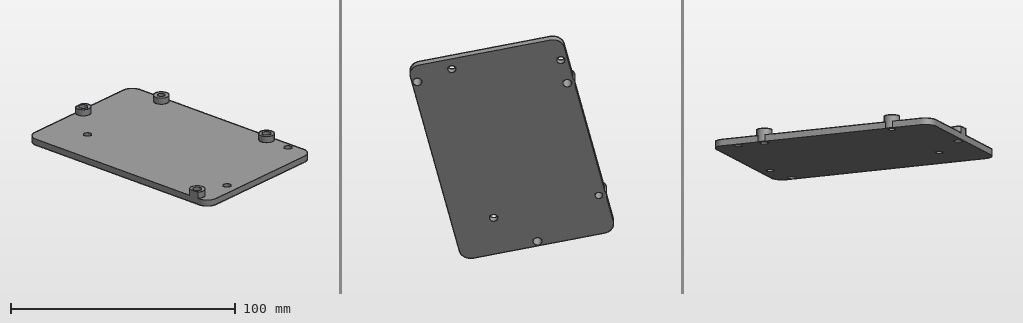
import cadquery as cq

length = 107.0
width = 70.3
thickness = 3.0
corner_radius = 5.2

standoff_diameter = 7.0
standoff_height = 3.0
back_overhang = 0.4
back_row_y = width + back_overhang - standoff_diameter / 2
edge_inset = 2.5

small_bore = 3.4
large_bore = 4.0
plate_hole_diameter = 3.6
front_row_y = 18.9

back_standoffs = [
    ((20.4, back_row_y), small_bore),
    ((82.6, back_row_y), large_bore),
]
trimmed_standoffs = [
    ((edge_inset, 35.1), large_bore),
    ((98.3, edge_inset), large_bore),
]
plate_holes = [(19.2, front_row_y), (101.5, front_row_y), (95.3, back_row_y)]


def rounded_block(height):
    """Block with the plate's rounded outline, standing on the XY plane."""
    block = cq.Workplane("XY").box(length, width, height, centered=False)
    return block.edges("|Z").fillet(corner_radius)


def cylinder(center, diameter, height):
    """Upright cylinder standing on the XY plane."""
    return cq.Workplane("XY").center(*center).circle(diameter / 2).extrude(height)


total_height = thickness + standoff_height
part = rounded_block(thickness)
outline = rounded_block(total_height)

for center, _ in back_standoffs:
    part = part.union(cylinder(center, standoff_diameter, total_height))

for center, _ in trimmed_standoffs:
    standoff = cylinder(center, standoff_diameter, total_height)
    part = part.union(standoff.intersect(outline))

for center, bore in back_standoffs + trimmed_standoffs:
    part = part.cut(cylinder(center, bore, total_height))

for center in plate_holes:
    part = part.cut(cylinder(center, plate_hole_diameter, thickness))

result = part